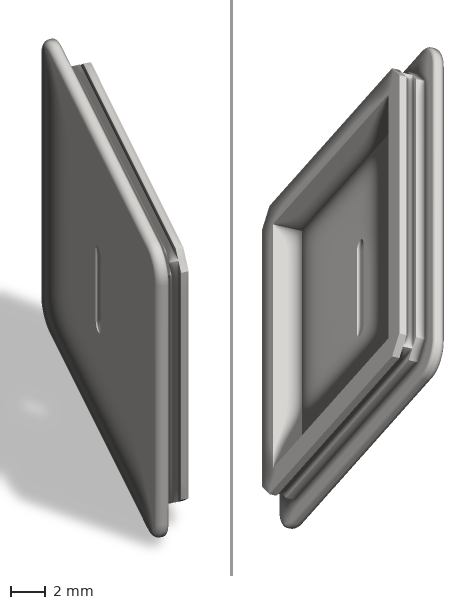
import cadquery as cq

plate_side = 21.85
plate_thickness = 0.76
plate_corner_radius = 1.8
front_edge_radius = 0.4
back_edge_radius = 0.22

flange_side = 19.22
flange_corner_chamfer = 1.0
inner_flange_thickness = 0.55
core_side = plate_side - 2 * plate_corner_radius
groove_width = 0.6
outer_flange_thickness = 0.45

floor_thickness = 0.5
core_wall = 1.0
pocket_side = core_side - 2 * core_wall

slot_length = 6.38
slot_width = 0.9

inner_flange_start = plate_thickness
core_start = inner_flange_start + inner_flange_thickness
outer_flange_start = core_start + groove_width
total_depth = outer_flange_start + outer_flange_thickness


def square_slab(side, start, thickness):
    """Square slab centred on the Y axis, reaching from start towards +Y."""
    return cq.Workplane("XZ", origin=(0, start, 0)).rect(side, side).extrude(-thickness)


def cover_plate():
    plate = square_slab(plate_side, 0, plate_thickness)
    plate = plate.edges("|Y").fillet(plate_corner_radius)
    plate = plate.faces("<Y").edges().fillet(front_edge_radius)
    return plate.faces(">Y").edges().fillet(back_edge_radius)


def flange(start, thickness):
    return square_slab(flange_side, start, thickness).edges("|Y").chamfer(flange_corner_chamfer)


def pocket_cutter():
    return square_slab(pocket_side, floor_thickness, total_depth - floor_thickness)


def slot_cutter():
    return cq.Workplane("XZ").slot2D(slot_length, slot_width, 90).extrude(-total_depth)


result = (
    cover_plate()
    .union(flange(inner_flange_start, inner_flange_thickness))
    .union(square_slab(core_side, core_start, groove_width))
    .union(flange(outer_flange_start, outer_flange_thickness))
    .cut(pocket_cutter())
    .cut(slot_cutter())
)